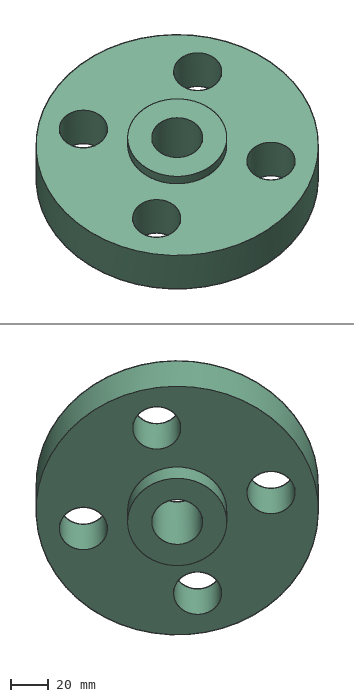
import cadquery as cq

flange_diameter = 149.4
flange_thickness = 28.5

hub_diameter = 52.4
upper_hub_height = 6.3
lower_hub_height = 12.7
total_height = lower_hub_height + flange_thickness + upper_hub_height

bore_diameter = 26.9
bolt_hole_diameter = 25.4
bolt_circle_diameter = 101.5
bolt_count = 4
first_bolt_angle = 180 / bolt_count


def cylinder(diameter, height, base_z=0):
    """Upright cylinder centred on the Z axis."""
    return cq.Workplane("XY").workplane(offset=base_z).circle(diameter / 2).extrude(height)


def bolt_holes():
    """Cutters for the ring of bolt holes, spanning the full part height."""
    return (
        cq.Workplane("XY")
        .polarArray(bolt_circle_diameter / 2, first_bolt_angle, 360, bolt_count)
        .circle(bolt_hole_diameter / 2)
        .extrude(total_height)
    )


flange = cylinder(flange_diameter, flange_thickness, lower_hub_height)
hub = cylinder(hub_diameter, total_height)
bore = cylinder(bore_diameter, total_height)

result = flange.union(hub).cut(bore).cut(bolt_holes())